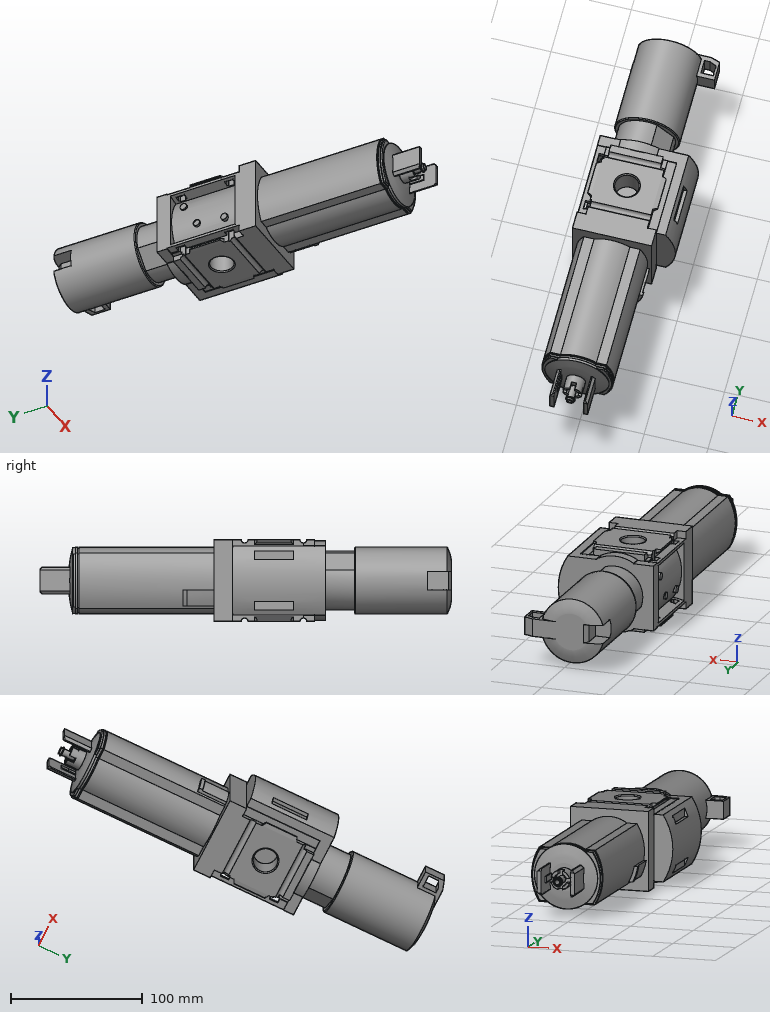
import cadquery as cq
import math


block_half = 31.0
frame_half_height = 26.0
frame_end = 39.2
flange_inner = -31.4
flange_outer = -45.5
strip_half_height = 25.3
strip_end = 30.7
bonnet_radius = 30.4
bonnet_half_width = 15.0

cover_flat_end = 38.3
cover_tip = 46.0
cover_notch_x = 40.5
cover_notch_height = 15.8
cover_notch_half_length = 14.7

plate_half_width = 24.0
tongue_half_width = 20.5
pad_height = 26.4
groove_offset = 22.3
groove_diameter = 5.0
port_diameter = 18.63
port_chamfer = 0.9
port_depth = 20.0
lip_reach = 3.4
lip_root_half_length = 14.8
lip_tip_half_length = 12.9
lip_root_bottom = 27.5
lip_tip_bottom = 29.3
lip_tip_top = 30.6

window_half_length = 27.7
window_half_height = 23.0
window_inner_half_height = 21.2
panel_radius = 36.0
panel_crest = -29.0
window_floor = panel_crest + panel_radius - math.sqrt(panel_radius**2 - window_inner_half_height**2)
pin_diameter = 5.5
pin_tip = -29.2
pin_places = [(17.6, 10.8), (6.3, -8.4), (-17.3, -10.8)]
slot_width = 4.0
slot_length = 7.0
slot_offset = 20.8
slot_notch_depth = 1.0
slot_notch_length = 4.8

neck_end = 61.0
neck_radius = 22.4
neck_flat_distance = 20.4
neck_flat_angles = [45, 225]

bowl_end = -150.6
bowl_diameter = 50.5
bowl_half_width = 28.0
bowl_flat_half_height = 21.0
bowl_flat_end = 22.0
bowl_bulge = bowl_half_width - bowl_flat_end
bowl_side_radius = (bowl_flat_half_height**2 + bowl_bulge**2) / (2 * bowl_bulge)
bowl_side_centre = bowl_half_width - bowl_side_radius
bowl_groove_start = -147.8
bowl_groove_width = 1.0
bowl_groove_depth = 0.7
ear_step = 1.0
ear_end = -152.0
dome_diameter = 50.36
dome_start = -152.6
dome_end = -155.3
dome_middle = -154.4
dome_middle_radius = 17.7
dome_flat_radius = 10.9

slider_end = -69.0
slider_thickness = 2.0
slider_top = -7.0
slider_bottom = -19.3
slider_ridge_height = 0.8
slider_ridge_length = 3.0

nozzle_diameter = 15.0
nozzle_bore = 10.0
nozzle_end = -166.7
nozzle_slot_start = -161.5
nozzle_slot_width = 3.8
stem_diameter = 5.5
stem_bore = 3.8
stem_end = -174.2
collar_diameter = 7.4
collar_place = -172.6
collar_thickness = 0.7

guard_outer = 14.9
guard_thickness = 3.2
guard_half_width = 10.2
guard_side_chamfer = 2.2
guard_tip_chamfer = 1.6
guard_end = -177.44
guard_rib_height = 0.9
guard_rib_half_width = 2.5
guard_rib_end = -167.5

knob_end = 134.6
knob_radius = 25.5
knob_shoulder = 131.3
knob_crown = 133.7
knob_crown_radius = 19.8
knob_top_radius = 14.5
knob_rim_chamfer = 0.8
knob_slot_half_height = 7.25
knob_slot_start = 116.3
knob_slot_depth = 12.5
knob_slot_flare = 3.0
hasp_tip = 38.6
hasp_bend = 31.4
hasp_tip_end = 132.2
hasp_half_height = 7.0
hasp_hole_start = 27.1
hasp_wall = 1.9
hasp_base_wall = 3.6


def span_box(x_range, y_range, z_range):
    """Box between pairs of coordinates."""
    ranges = (x_range, y_range, z_range)
    size = [end - start for start, end in ranges]
    return cq.Workplane("XY").box(*size, centered=False).translate([start for start, _ in ranges])


def section(y):
    """Sketch plane across the axis: local x is X, local y is Z, extruding toward -Y."""
    return cq.Workplane("XZ", origin=(0, y, 0))


def rod(diameter, start, end):
    """Cylinder along the common axis from `start` down to `end`."""
    return section(start).circle(diameter / 2).extrude(start - end)


def both_faces(shape):
    """The +Z feature together with its copy on the -Z side."""
    return shape.union(shape.mirror("XY"))


def frame():
    length = frame_end - flange_inner
    body = (
        section(frame_end)
        .moveTo(-block_half, -frame_half_height)
        .lineTo(cover_flat_end, -frame_half_height)
        .threePointArc((cover_tip, 0), (cover_flat_end, frame_half_height))
        .lineTo(-block_half, frame_half_height)
        .close()
        .extrude(length)
    )
    notch = span_box(
        (cover_notch_x, cover_tip),
        (-cover_notch_half_length, cover_notch_half_length),
        (cover_notch_height, frame_half_height),
    )
    strip = span_box(
        (-block_half, block_half), (flange_inner, strip_end), (strip_half_height, frame_half_height)
    )
    bonnet = rod(2 * bonnet_radius, frame_end, strip_end)
    bonnet = bonnet.intersect(
        span_box((-bonnet_half_width, bonnet_half_width), (strip_end, frame_end), (-block_half, block_half))
    )
    flange = span_box(
        (-block_half, block_half), (flange_outer, flange_inner), (-block_half, block_half)
    )
    return body.cut(both_faces(notch)).cut(both_faces(strip)).union(bonnet).union(flange)


def port_lip(side):
    """Overhanging lip beside a port plate, tapering outward; side is -1 or +1 along X."""
    root = [
        (-lip_root_half_length, lip_root_bottom),
        (lip_root_half_length, lip_root_bottom),
        (lip_root_half_length, block_half),
        (-lip_root_half_length, block_half),
    ]
    tip = [
        (-lip_tip_half_length, lip_tip_bottom),
        (lip_tip_half_length, lip_tip_bottom),
        (lip_tip_half_length, lip_tip_top),
        (-lip_tip_half_length, lip_tip_top),
    ]
    lip = (
        cq.Workplane("YZ", origin=(plate_half_width, 0, 0))
        .polyline(root)
        .close()
        .workplane(offset=lip_reach)
        .polyline(tip)
        .close()
        .loft()
    )
    return lip if side > 0 else lip.mirror("YZ")


def port_plate():
    """Raised plate around the +Z port."""
    plate = span_box(
        (-plate_half_width, plate_half_width), (flange_inner, strip_end), (strip_half_height, block_half)
    )
    for side in (-1, 1):
        x_range = sorted((side * tongue_half_width, side * plate_half_width))
        plate = plate.cut(span_box(x_range, (groove_offset, strip_end), (pad_height, block_half)))
        groove = (
            cq.Workplane("YZ", origin=(-plate_half_width, side * groove_offset, block_half))
            .circle(groove_diameter / 2)
            .extrude(2 * plate_half_width)
        )
        plate = plate.cut(groove).union(port_lip(side))
    return plate


def port_hole():
    """Blind +Z port with a chamfered mouth."""
    radius = port_diameter / 2
    floor = block_half - port_depth
    return (
        cq.Workplane("XZ")
        .polyline([
            (0, floor),
            (radius, floor),
            (radius, block_half - port_chamfer),
            (radius + port_chamfer, block_half),
            (0, block_half),
        ])
        .close()
        .revolve(360, (0, 0, 0), (0, 1, 0))
    )


def window():
    """Recess with sloping upper and lower walls around the convex panel and its pins."""
    recess = (
        section(window_half_length)
        .moveTo(-block_half, -window_half_height)
        .lineTo(window_floor, -window_inner_half_height)
        .threePointArc((panel_crest, 0), (window_floor, window_inner_half_height))
        .lineTo(-block_half, window_half_height)
        .close()
        .extrude(2 * window_half_length)
    )
    pins = (
        cq.Workplane("YZ", origin=(pin_tip, 0, 0))
        .pushPoints(pin_places)
        .circle(pin_diameter / 2)
        .extrude(-pin_tip)
    )
    return recess.cut(pins)


def strip_slots():
    """Slots through the +Z strip into the window, each biting into the edge of the port plate."""
    centres = [(0, -slot_offset), (0, slot_offset)]
    slots = (
        cq.Workplane("XY", origin=(-plate_half_width - slot_width / 2, 0, window_inner_half_height))
        .pushPoints(centres)
        .rect(slot_width, slot_length)
        .extrude(strip_half_height - window_inner_half_height)
    )
    notches = (
        cq.Workplane("XY", origin=(-plate_half_width, 0, window_inner_half_height))
        .pushPoints(centres)
        .rect(2 * slot_notch_depth, slot_notch_length)
        .extrude(block_half - window_inner_half_height)
    )
    return slots.union(notches)


def neck():
    body = rod(2 * neck_radius, neck_end, frame_end)
    for angle in neck_flat_angles:
        cutter = span_box(
            (neck_flat_distance, 2 * neck_radius), (frame_end, neck_end), (-neck_radius, neck_radius)
        )
        body = body.cut(cutter.rotate((0, 0, 0), (0, 1, 0), -angle))
    return body


def bowl_ears(start, end, inset):
    """Bulging sides and flats of the bowl, drawn in by `inset`."""
    half_height = bowl_flat_half_height - inset
    flat_end = bowl_flat_end - inset
    half_width = bowl_half_width - inset
    return (
        section(start)
        .moveTo(-flat_end, -half_height)
        .lineTo(flat_end, -half_height)
        .threePointArc((half_width, 0), (flat_end, half_height))
        .lineTo(-flat_end, half_height)
        .threePointArc((-half_width, 0), (-flat_end, -half_height))
        .close()
        .extrude(start - end)
    )


def bowl_length(start, end, inset):
    return bowl_ears(start, end, inset).union(rod(bowl_diameter - 2 * inset, start, end))


def bowl():
    groove_end = bowl_groove_start - bowl_groove_width
    body = bowl_length(flange_outer, bowl_groove_start, 0)
    body = body.union(bowl_length(bowl_groove_start, groove_end, bowl_groove_depth))
    body = body.union(bowl_length(groove_end, bowl_end, 0))
    body = body.union(bowl_ears(bowl_end, ear_end, ear_step))
    radius = dome_diameter / 2
    dome = (
        cq.Workplane("XY")
        .moveTo(0, bowl_end)
        .lineTo(radius, bowl_end)
        .lineTo(radius, dome_start)
        .threePointArc((dome_middle_radius, dome_middle), (dome_flat_radius, dome_end))
        .lineTo(0, dome_end)
        .close()
        .revolve(360, (0, 0, 0), (0, 1, 0))
    )
    return body.union(dome)


def slider_band(start, height):
    """Band of the given height over the bowl's +X bulge."""
    outer = (
        section(start)
        .center(bowl_side_centre, 0)
        .circle(bowl_side_radius + height)
        .circle(bowl_side_radius - slider_thickness)
        .extrude(start - slider_end)
    )
    return outer.intersect(
        span_box((0, block_half), (slider_end, start), (slider_bottom, slider_top))
    )


def slider():
    ridge = slider_band(slider_end + slider_ridge_length, slider_thickness + slider_ridge_height)
    return slider_band(flange_outer, slider_thickness).union(ridge)


def drain():
    nozzle = rod(nozzle_diameter, dome_end, nozzle_end)
    nozzle = nozzle.cut(rod(nozzle_bore, nozzle_slot_start, nozzle_end))
    half_slot = nozzle_slot_width / 2
    half_span = nozzle_diameter / 2
    slot = span_box((-half_span, half_span), (nozzle_end, nozzle_slot_start), (-half_slot, half_slot))
    nozzle = nozzle.cut(slot).cut(slot.rotate((0, 0, 0), (0, 1, 0), 90))
    stem = rod(stem_diameter, nozzle_slot_start, stem_end)
    collar = rod(collar_diameter, collar_place + collar_thickness, collar_place)
    bore = rod(stem_bore, nozzle_slot_start, stem_end)
    return nozzle.union(stem).union(collar).cut(bore)


def drain_guard():
    """Flat guard on the +X side of the drain."""
    inner = guard_outer - guard_thickness
    guard = span_box(
        (inner, guard_outer), (guard_end, dome_start), (-guard_half_width, guard_half_width)
    )
    guard = guard.edges("|X and <Y").chamfer(guard_tip_chamfer)
    guard = guard.edges("|Y and >X").chamfer(guard_side_chamfer)
    rib = span_box(
        (inner - guard_rib_height, inner),
        (guard_rib_end, dome_start),
        (-guard_rib_half_width, guard_rib_half_width),
    )
    return guard.union(rib)


def make_regulator():
    body = frame().union(both_faces(port_plate())).cut(both_faces(port_hole()))
    body = body.cut(window()).cut(both_faces(strip_slots()))
    body = body.union(neck()).union(bowl()).union(slider()).union(drain())
    guard = drain_guard()
    return body.union(guard).union(guard.mirror("YZ"))


def hasp():
    """Padlock loop on the knob's +X side."""
    loop = (
        cq.Workplane("XY", origin=(0, 0, -hasp_half_height))
        .polyline([
            (0, knob_slot_start),
            (hasp_tip, knob_slot_start),
            (hasp_tip, hasp_tip_end),
            (hasp_bend, knob_end),
            (0, knob_end),
        ])
        .close()
        .extrude(2 * hasp_half_height)
    )
    hole_bottom = knob_slot_start + hasp_base_wall
    hole_end = hasp_tip - hasp_wall
    hole_top = knob_end - 2 * hasp_wall
    hole = (
        cq.Workplane("XY", origin=(0, 0, -hasp_half_height))
        .polyline([
            (hasp_hole_start, hole_bottom),
            (hole_end, hole_bottom),
            (hole_end, hasp_tip_end - 2 * hasp_wall),
            (hasp_bend, hole_top),
            (hasp_hole_start, hole_top),
        ])
        .close()
        .extrude(2 * hasp_half_height)
    )
    return loop.cut(hole)


def make_knob():
    body = (
        cq.Workplane("XY")
        .moveTo(0, neck_end)
        .lineTo(knob_radius - knob_rim_chamfer, neck_end)
        .lineTo(knob_radius, neck_end + knob_rim_chamfer)
        .lineTo(knob_radius, knob_shoulder)
        .threePointArc((knob_crown_radius, knob_crown), (knob_top_radius, knob_end))
        .lineTo(0, knob_end)
        .close()
        .revolve(360, (0, 0, 0), (0, 1, 0))
    )
    slot_floor = knob_slot_depth - knob_radius
    slot = (
        cq.Workplane("XY", origin=(0, 0, -knob_slot_half_height))
        .polyline([
            (-knob_radius, knob_slot_start),
            (slot_floor, knob_slot_start),
            (slot_floor, knob_shoulder),
            (slot_floor + knob_slot_flare, knob_end),
            (-knob_radius, knob_end),
        ])
        .close()
        .extrude(2 * knob_slot_half_height)
    )
    return body.union(hasp()).cut(slot)


regulator = make_regulator().solids()
knob = make_knob().solids()
result = cq.Compound.makeCompound([regulator.val(), knob.val()])